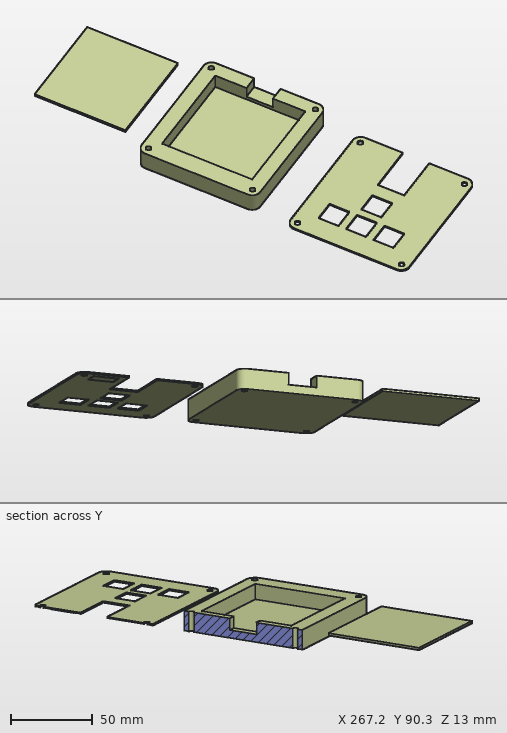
import cadquery as cq

plan_width = 83.0
plan_depth = 89.0
corner_radius = 5.5
screw_hole_diameter = 3.5
screw_hole_inset = 5.0

overall_width = 267.2
overall_depth = 90.3
overall_height = 13.0

case_center_x = -13.0
case_center_y = (overall_depth - plan_depth) / 2
case_height = 12.8
case_top = overall_height / 2
case_bottom = case_top - case_height
pocket_width = 63.0
pocket_length = 66.8
pocket_left_wall = 10.5
pocket_back_wall = 9.5
pocket_depth = 10.0
notch_width = 18.5
notch_depth = 7.5

lid_thickness = 1.0
lid_center_x = (overall_width - plan_width) / 2
lid_center_y = -case_center_y
slot_width = notch_width
slot_length = 31.5
slot_offset_x = -0.3
slot_center_x = lid_center_x + slot_offset_x
window_size = 14.0
window_pitch = 19.2
window_offset_x = -1.0
window_column_x = lid_center_x + window_offset_x
upper_window_y = -4.0
lower_window_y = upper_window_y - window_pitch
pad_width = 16.3
pad_length = 9.0
pad_thickness = overall_height - case_height
pad_center_x = 114.5
pad_center_y = 35.0

panel_width = 63.5
panel_length = 66.0
panel_thickness = 1.5
panel_center_x = (panel_width - overall_width) / 2
panel_center_y = 2.0
panel_bottom = 3.7


def block(width, length, height, center_x, center_y, bottom):
    """Box centred in plan and standing on the given height."""
    return cq.Workplane("XY").box(width, length, height, centered=(True, True, False)).translate(
        (center_x, center_y, bottom)
    )


def drilled_plate(height, center_x, center_y, bottom):
    """Plate with rounded corners and a screw hole through each corner."""
    return (
        block(plan_width, plan_depth, height, 0, 0, 0)
        .edges("|Z")
        .fillet(corner_radius)
        .faces(">Z")
        .workplane()
        .rect(plan_width - 2 * screw_hole_inset, plan_depth - 2 * screw_hole_inset, forConstruction=True)
        .vertices()
        .hole(screw_hole_diameter)
        .translate((center_x, center_y, bottom))
    )


def make_case():
    """Open tray with a notch through its back wall."""
    back = case_center_y + plan_depth / 2
    pocket_x = case_center_x + (pocket_width - plan_width) / 2 + pocket_left_wall
    pocket_y = back - pocket_back_wall - pocket_length / 2
    notch_y = back - pocket_back_wall / 2
    pocket = block(pocket_width, pocket_length, pocket_depth, pocket_x, pocket_y, case_top - pocket_depth)
    notch = block(notch_width, pocket_back_wall, notch_depth, case_center_x, notch_y, case_top - notch_depth)
    return drilled_plate(case_height, case_center_x, case_center_y, case_bottom).cut(pocket).cut(notch)


def make_lid():
    """Thin cover with a slot open to the back, four square windows and a pad underneath."""
    lid = drilled_plate(lid_thickness, lid_center_x, lid_center_y, case_bottom)
    slot_y = lid_center_y + (plan_depth - slot_length) / 2
    lid = lid.cut(block(slot_width, slot_length, lid_thickness, slot_center_x, slot_y, case_bottom))
    window_centers = [(window_column_x, upper_window_y)]
    for column in (-1, 0, 1):
        window_centers.append((window_column_x + column * window_pitch, lower_window_y))
    for x, y in window_centers:
        lid = lid.cut(block(window_size, window_size, lid_thickness, x, y, case_bottom))
    pad_bottom = case_bottom - pad_thickness
    pad = block(pad_width, pad_length, pad_thickness, pad_center_x, pad_center_y, pad_bottom)
    return lid.union(pad)


def make_panel():
    """Plain rectangular sheet."""
    return block(panel_width, panel_length, panel_thickness, panel_center_x, panel_center_y, panel_bottom)


case = make_case()
lid = make_lid()
panel = make_panel()

result = cq.Compound.makeCompound([case.val(), lid.val(), panel.val()])